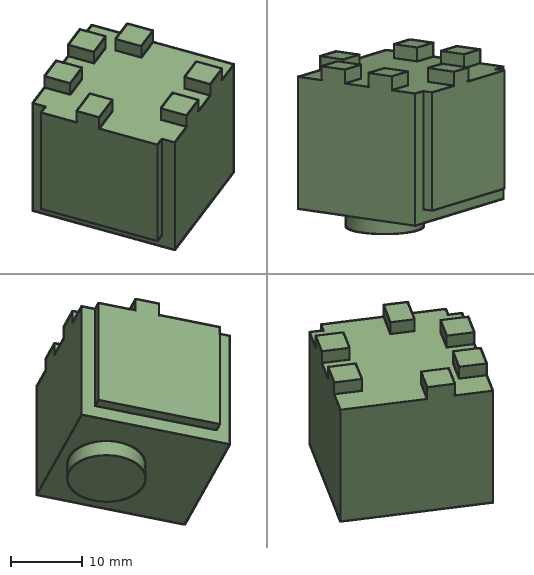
import cadquery as cq

body_width = 22.0
body_depth = 20.0
body_height = 19.0

plate_margin = 2.0
plate_thickness = 1.5

boss_diameter = 11.0
boss_height = 2.5
boss_x = 7.0

pad_size = 4.0
pad_height = 2.0
side_pad_front_edges = (pad_size, body_depth - 2 * pad_size)
back_pad_left = 5.5
front_pad_left = 7.5
front_pad_width = 3.5
front_pad_depth = 4.5


def box_at(x, y, z, width, depth, height):
    """Box given by its lower left front corner and its size."""
    return cq.Workplane("XY").box(width, depth, height, centered=False).translate((x, y, z))


def top_pad(x, y, width=pad_size, depth=pad_size):
    return box_at(x, y, body_height, width, depth, pad_height)


result = box_at(0, 0, 0, body_width, body_depth, body_height)
plate = box_at(
    plate_margin, -plate_thickness, plate_margin,
    body_width - 2 * plate_margin, plate_thickness, body_height - plate_margin,
)
result = result.union(plate)

boss = (
    cq.Workplane("XY")
    .center(boss_x, body_depth / 2)
    .circle(boss_diameter / 2)
    .extrude(-boss_height)
)
result = result.union(boss)

for pad_y in side_pad_front_edges:
    for pad_x in (0, body_width - pad_size):
        result = result.union(top_pad(pad_x, pad_y))
result = result.union(top_pad(back_pad_left, body_depth - pad_size))
result = result.union(top_pad(front_pad_left, -plate_thickness, front_pad_width, front_pad_depth))